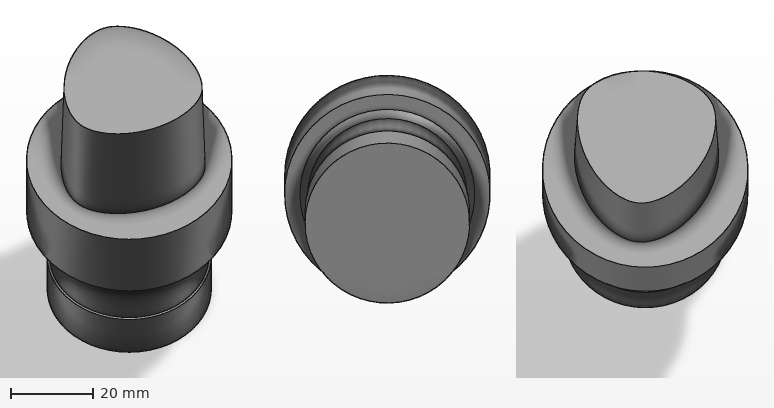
import cadquery as cq
import math

FLANGE_DIAMETER = 49.98
FLANGE_HEIGHT = 20.0
NECK_DIAMETER = 38.8
CONE_DIAMETER = 42.5
PILOT_DIAMETER = 40.0
PILOT_HEIGHT = 12.7
BODY_LENGTH = 50.0

SHANK_HEIGHT = 30.0
SHANK_BASE_WIDTH = 35.1
SHANK_TAPER = 1 / 20
LOBE_COUNT = 3
LOBE_ECCENTRICITY = 1.1
LOBE_DIRECTION = -math.pi / 2
OUTLINE_POINTS = 48


def lobed_outline_point(width, angle):
    """Point of a three-lobed curve of constant width; the angle is that of the outward normal from a lobe."""
    reach = width / 2 + LOBE_ECCENTRICITY * math.cos(LOBE_COUNT * angle)
    slope = -LOBE_COUNT * LOBE_ECCENTRICITY * math.sin(LOBE_COUNT * angle)
    heading = angle + LOBE_DIRECTION
    return (
        reach * math.cos(heading) - slope * math.sin(heading),
        reach * math.sin(heading) + slope * math.cos(heading),
    )


def lobed_outline(width):
    step = 2 * math.pi / OUTLINE_POINTS
    return [lobed_outline_point(width, i * step) for i in range(OUTLINE_POINTS)]


def make_body():
    """Flange, conical transition, relieved neck and pilot as one revolved profile."""
    flange_bottom = -FLANGE_HEIGHT
    cone_height = (CONE_DIAMETER - NECK_DIAMETER) / 2
    pilot_top = PILOT_HEIGHT - BODY_LENGTH
    return (
        cq.Workplane("XZ")
        .moveTo(0, 0)
        .lineTo(FLANGE_DIAMETER / 2, 0)
        .lineTo(FLANGE_DIAMETER / 2, flange_bottom)
        .lineTo(CONE_DIAMETER / 2, flange_bottom)
        .lineTo(NECK_DIAMETER / 2, flange_bottom - cone_height)
        .lineTo(NECK_DIAMETER / 2, pilot_top)
        .lineTo(PILOT_DIAMETER / 2, pilot_top)
        .lineTo(PILOT_DIAMETER / 2, -BODY_LENGTH)
        .lineTo(0, -BODY_LENGTH)
        .close()
        .revolve(360, (0, 0, 0), (0, 1, 0))
    )


def make_shank():
    """Loft between the wide outline on the flange and the narrow end outline."""
    end_width = SHANK_BASE_WIDTH - SHANK_TAPER * SHANK_HEIGHT
    return (
        cq.Workplane("XY")
        .spline(lobed_outline(SHANK_BASE_WIDTH), periodic=True, makeWire=True)
        .workplane(offset=SHANK_HEIGHT)
        .spline(lobed_outline(end_width), periodic=True, makeWire=True)
        .loft(ruled=True)
    )


result = make_body().union(make_shank())